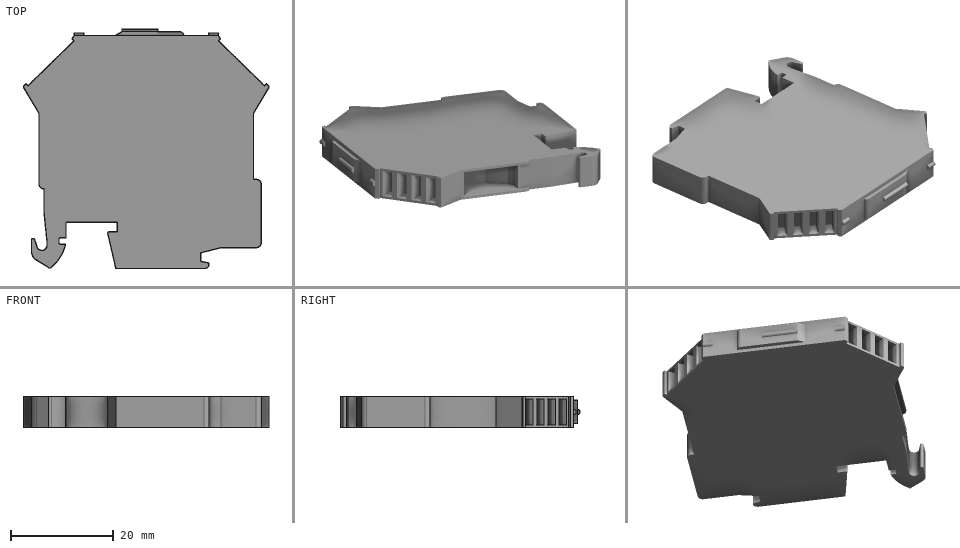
import cadquery as cq
import math

THICKNESS = 6.1
SKIN = 0.5
CAVITY_WIDTH = THICKNESS - 2 * SKIN
CROWN_Y = 45.6
CROWN_HALF_WIDTH = 14.1
HALF_WIDTH = 24.0
NECK_HALF_WIDTH = 21.0
NECK_TOP_Y = 30.4
SHOULDER_Y = 17.5
LIP_TOP = (14.55, 44.95)
SLANT_TOP = (14.15, 44.55)
SLANT_BOTTOM = (23.1, 35.8)
LIP_BOTTOM = (23.5, 36.2)
EAR_TOP_Y = 35.7
EAR_BOTTOM_Y = 35.45

BASE_RIGHT = 22.5
BASE_BOTTOM_Y = 4.1
BASE_RADIUS = 1.0
LEG_X = -20.0
LEG_TOP_Y = 15.6
RAIL_LEFT = -15.65
RAIL_RIGHT = -5.7
RAIL_TOP_Y = 9.07
RAIL_HOOK_Y = 7.25
RAIL_HOOK_X = -7.55
RAIL_HOOK_RADIUS = 0.35
SOLE_LEFT = -5.95
SOLE_RIGHT = 11.3
CLAW_ROOT_X = 10.7
CLAW_ROOT_BOTTOM_Y = 1.45
CLAW_ROOT_TOP_Y = 3.1
CLAW_TIP_X = 12.25
CLAW_TIP_TOP_Y = 1.15
CLAW_TIP_BOTTOM_Y = 0.5
CLAW_RADIUS = 1.2
RAMP_END_X = 14.6

LATCH_BEND_Y = 10.9
LATCH_NOTCH_X = -17.05
LATCH_NOTCH_TOP_Y = 6.05
LATCH_NOTCH_BOTTOM_Y = 4.8
LATCH_NOTCH_RADIUS = 0.3
LATCH_NOSE_X = -15.75
LATCH_CHEEK = (-16.65, 2.5)
LATCH_TIP = (-18.85, 0.1)
LATCH_TIP_HALF_WIDTH = 0.3
LATCH_TIP_RISE = 0.18
LATCH_HEEL = (-21.5, 1.7)
LATCH_HEEL_RADIUS = 2.0
FINGER_X = -22.45
FINGER_BOTTOM_Y = 3.25
FINGER_THICKNESS = 0.7
FINGER_SIDE_Y = 5.6
FINGER_TOP_Y = 5.95
FINGER_ROOT = (-21.4, 4.5)
GROOVE_BOTTOM = (-20.4, 3.6)
GROOVE_RIGHT_X = -19.45
GROOVE_ROUND_Y = 4.4
GROOVE_STRAIGHT_Y = 5.5

POCKET_TOP_Y = 29.6
POCKET_LIP_X = -16.5
POCKET_FLOOR_X = -14.6
POCKET_FLOOR_TOP_Y = 26.35
POCKET_FLOOR_BOTTOM_Y = 22.55
POCKET_BEND = (-16.8, 18.7)
POCKET_LEDGE_X = -17.8
POCKET_LEDGE_Y = 17.9

SLOT_COUNT = 4
SLOT_PITCH = 3.1
FIRST_SLOT = 1.55
SLOT_MOUTH = 2.0
SLOT_TAPER_DEPTH = 0.92
SLOT_TAPER_ANGLE = 15
SLOT_DEPTH = 3.0

PLATE_HEIGHT = 0.75
PLATE_WIDTH = 4.6
PLATE_BOTTOM_LEFT = -6.1
PLATE_TOP_LEFT = -4.75
PLATE_TOP_RIGHT = 6.5
PLATE_BOTTOM_RIGHT = 7.35
PLATE_END_RADIUS = 0.86
BEAD_RADIUS = 0.5
SIDE_BEAD_LENGTH = 1.9
PLATE_BEAD_LENGTH = 7.0


def extrude_centered(outline, width):
    """Close an XY outline and extrude it evenly to both sides of Z = 0."""
    return outline.close().extrude(width / 2, both=True)


def make_housing():
    right_side = [
        (CROWN_HALF_WIDTH, CROWN_Y),
        LIP_TOP,
        SLANT_TOP,
        SLANT_BOTTOM,
        LIP_BOTTOM,
        (HALF_WIDTH, EAR_TOP_Y),
        (HALF_WIDTH, EAR_BOTTOM_Y),
        (NECK_HALF_WIDTH, NECK_TOP_Y),
        (NECK_HALF_WIDTH, SHOULDER_Y),
    ]
    left_side = [(-x, y) for x, y in reversed(right_side)]
    return extrude_centered(cq.Workplane("XY").polyline(right_side + left_side), THICKNESS)


def make_base():
    left_round = NECK_HALF_WIDTH + LEG_X
    outline = (
        cq.Workplane("XY")
        .moveTo(-NECK_HALF_WIDTH, SHOULDER_Y)
        .lineTo(-NECK_HALF_WIDTH, LEG_TOP_Y + left_round)
        .radiusArc((LEG_X, LEG_TOP_Y), -left_round)
        .lineTo(LEG_X, LATCH_BEND_Y)
        .lineTo(RAIL_LEFT, LATCH_BEND_Y)
        .lineTo(RAIL_LEFT, RAIL_TOP_Y)
        .lineTo(RAIL_RIGHT, RAIL_TOP_Y)
        .lineTo(RAIL_RIGHT, RAIL_HOOK_Y)
        .lineTo(RAIL_HOOK_X + RAIL_HOOK_RADIUS, RAIL_HOOK_Y)
        .radiusArc((RAIL_HOOK_X, RAIL_HOOK_Y - RAIL_HOOK_RADIUS), -RAIL_HOOK_RADIUS)
        .lineTo(SOLE_LEFT, 0)
        .lineTo(SOLE_RIGHT, 0)
        .radiusArc((CLAW_TIP_X, CLAW_TIP_BOTTOM_Y), -CLAW_RADIUS)
        .lineTo(CLAW_TIP_X, CLAW_TIP_TOP_Y)
        .lineTo(CLAW_ROOT_X, CLAW_ROOT_BOTTOM_Y)
        .lineTo(CLAW_ROOT_X, CLAW_ROOT_TOP_Y)
        .lineTo(RAMP_END_X, BASE_BOTTOM_Y)
        .lineTo(BASE_RIGHT - BASE_RADIUS, BASE_BOTTOM_Y)
        .radiusArc((BASE_RIGHT, BASE_BOTTOM_Y + BASE_RADIUS), -BASE_RADIUS)
        .lineTo(BASE_RIGHT, SHOULDER_Y - BASE_RADIUS)
        .radiusArc((BASE_RIGHT - BASE_RADIUS, SHOULDER_Y), -BASE_RADIUS)
    )
    return extrude_centered(outline, THICKNESS)


def make_latch():
    r = LATCH_NOTCH_RADIUS
    tip_x, tip_y = LATCH_TIP
    tip_side_y = tip_y + LATCH_TIP_RISE
    outline = (
        cq.Workplane("XY")
        .moveTo(RAIL_LEFT, LATCH_BEND_Y)
        .lineTo(RAIL_LEFT, LATCH_NOTCH_TOP_Y)
        .lineTo(LATCH_NOTCH_X + r, LATCH_NOTCH_TOP_Y)
        .radiusArc((LATCH_NOTCH_X, LATCH_NOTCH_TOP_Y - r), -r)
        .lineTo(LATCH_NOTCH_X, LATCH_NOTCH_BOTTOM_Y + r)
        .radiusArc((LATCH_NOTCH_X + r, LATCH_NOTCH_BOTTOM_Y), -r)
        .lineTo(LATCH_NOSE_X, LATCH_NOTCH_BOTTOM_Y)
        .threePointArc(LATCH_CHEEK, (tip_x + LATCH_TIP_HALF_WIDTH, tip_side_y))
        .threePointArc(LATCH_TIP, (tip_x - LATCH_TIP_HALF_WIDTH, tip_side_y))
        .lineTo(*LATCH_HEEL)
        .radiusArc((FINGER_X, FINGER_BOTTOM_Y), LATCH_HEEL_RADIUS)
        .lineTo(FINGER_X, FINGER_SIDE_Y)
        .threePointArc(
            (FINGER_X + FINGER_THICKNESS / 2, FINGER_TOP_Y),
            (FINGER_X + FINGER_THICKNESS, FINGER_SIDE_Y),
        )
        .lineTo(*FINGER_ROOT)
        .threePointArc(GROOVE_BOTTOM, (GROOVE_RIGHT_X, GROOVE_ROUND_Y))
        .lineTo(GROOVE_RIGHT_X, GROOVE_STRAIGHT_Y)
        .lineTo(LEG_X, LATCH_BEND_Y)
    )
    return extrude_centered(outline, THICKNESS)


def make_pocket():
    outline = cq.Workplane("XY").polyline([
        (-HALF_WIDTH, POCKET_TOP_Y),
        (POCKET_LIP_X, POCKET_TOP_Y),
        (POCKET_FLOOR_X, POCKET_FLOOR_TOP_Y),
        (POCKET_FLOOR_X, POCKET_FLOOR_BOTTOM_Y),
        POCKET_BEND,
        (POCKET_LEDGE_X, POCKET_LEDGE_Y),
        (LEG_X, POCKET_LEDGE_Y),
        (LEG_X, LEG_TOP_Y),
        (-HALF_WIDTH, LEG_TOP_Y),
    ])
    return extrude_centered(outline, CAVITY_WIDTH)


def make_wire_slots():
    """Slots of the +X slanted face, each with a tapered mouth above a straight well."""
    run = SLANT_BOTTOM[0] - SLANT_TOP[0]
    drop = SLANT_BOTTOM[1] - SLANT_TOP[1]
    slant_angle = math.degrees(math.atan2(drop, run))
    mouth = SLOT_MOUTH / 2
    well = mouth - SLOT_TAPER_DEPTH * math.tan(math.radians(SLOT_TAPER_ANGLE))
    slots = cq.Workplane("XY")
    for index in range(SLOT_COUNT):
        middle = FIRST_SLOT + index * SLOT_PITCH
        outline = cq.Workplane("XY").polyline([
            (middle - mouth, 0),
            (middle - well, -SLOT_TAPER_DEPTH),
            (middle - well, -SLOT_DEPTH),
            (middle + well, -SLOT_DEPTH),
            (middle + well, -SLOT_TAPER_DEPTH),
            (middle + mouth, 0),
        ])
        slots = slots.add(extrude_centered(outline, CAVITY_WIDTH))
    slots = slots.combine()
    return slots.rotate((0, 0, 0), (0, 0, 1), slant_angle).translate((*SLANT_TOP, 0))


def make_marker_plate():
    top = CROWN_Y + PLATE_HEIGHT
    outline = (
        cq.Workplane("XY")
        .moveTo(PLATE_BOTTOM_LEFT, CROWN_Y)
        .lineTo(PLATE_TOP_LEFT, top)
        .lineTo(PLATE_TOP_RIGHT, top)
        .radiusArc((PLATE_BOTTOM_RIGHT, CROWN_Y), PLATE_END_RADIUS)
    )
    return extrude_centered(outline, PLATE_WIDTH)


def make_bead(left, base_y, length):
    """Round bar along X whose upper half stands on a face at base_y."""
    return cq.Workplane("YZ", origin=(left, base_y, 0)).circle(BEAD_RADIUS).extrude(length)


wire_slots = make_wire_slots()
result = (
    make_housing()
    .union(make_base())
    .union(make_latch())
    .cut(make_pocket())
    .cut(wire_slots)
    .cut(wire_slots.mirror("YZ"))
    .union(make_marker_plate())
    .union(make_bead(PLATE_TOP_LEFT, CROWN_Y + PLATE_HEIGHT, PLATE_BEAD_LENGTH))
    .union(make_bead(-CROWN_HALF_WIDTH, CROWN_Y, SIDE_BEAD_LENGTH))
    .union(make_bead(CROWN_HALF_WIDTH - SIDE_BEAD_LENGTH, CROWN_Y, SIDE_BEAD_LENGTH))
)